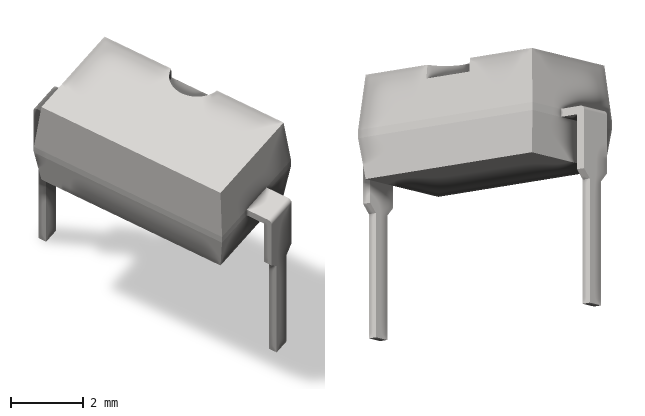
import cadquery as cq

BODY_LENGTH = 6.22
BODY_WIDTH = 3.48
TAPER_INSET = 0.15
UPPER_HEIGHT = 1.57
LOWER_HEIGHT = 1.15

NOTCH_RADIUS = 0.77
NOTCH_DEPTH = 0.39

LEAD_SPAN = 7.87
LEAD_DROP = 5.53
ARM_THICKNESS = 0.23
LEG_THICKNESS = 0.25
BEND_RADIUS = 0.12
SHOULDER_WIDTH = 1.0
TIP_WIDTH = 0.495
SHOULDER_DROP = 1.78

BAND_BOTTOM = -ARM_THICKNESS
BODY_TOP = UPPER_HEIGHT


def tapered_cap(base_z, top_z):
    """Frustum from the full housing outline at base_z to the inset outline at top_z."""
    return (
        cq.Workplane("XY", origin=(0, 0, base_z))
        .rect(BODY_LENGTH, BODY_WIDTH)
        .workplane(offset=top_z - base_z)
        .rect(BODY_LENGTH - 2 * TAPER_INSET, BODY_WIDTH - 2 * TAPER_INSET)
        .loft(ruled=True)
    )


def make_housing():
    band = (
        cq.Workplane("XY", origin=(0, 0, BAND_BOTTOM))
        .rect(BODY_LENGTH, BODY_WIDTH)
        .extrude(ARM_THICKNESS)
    )
    upper_cap = tapered_cap(0, BODY_TOP)
    lower_cap = tapered_cap(BAND_BOTTOM, BAND_BOTTOM - LOWER_HEIGHT)
    notch = (
        cq.Workplane("XY", origin=(0, BODY_WIDTH / 2, BODY_TOP - NOTCH_DEPTH))
        .circle(NOTCH_RADIUS)
        .extrude(NOTCH_DEPTH)
    )
    return band.union(upper_cap).union(lower_cap).cut(notch)


def lead_width_profile():
    """Outline in Y and Z: a wide shoulder that tapers at 45 degrees to a narrow tip."""
    half_shoulder = SHOULDER_WIDTH / 2
    half_tip = TIP_WIDTH / 2
    taper_end = -SHOULDER_DROP - (half_shoulder - half_tip)
    return (
        cq.Workplane("YZ")
        .moveTo(-half_shoulder, 0)
        .lineTo(half_shoulder, 0)
        .lineTo(half_shoulder, -SHOULDER_DROP)
        .lineTo(half_tip, taper_end)
        .lineTo(half_tip, -LEAD_DROP)
        .lineTo(-half_tip, -LEAD_DROP)
        .lineTo(-half_tip, taper_end)
        .lineTo(-half_shoulder, -SHOULDER_DROP)
        .close()
    )


def make_lead(side):
    """Bent lead that butts against the band; side is -1 or +1 along X."""
    inner_x = side * BODY_LENGTH / 2
    outer_x = side * LEAD_SPAN / 2
    leg_inner_x = outer_x - side * LEG_THICKNESS
    bent_strip = (
        cq.Workplane("XZ")
        .moveTo(inner_x, 0)
        .lineTo(outer_x - side * BEND_RADIUS, 0)
        .radiusArc((outer_x, -BEND_RADIUS), side * BEND_RADIUS)
        .lineTo(outer_x, -LEAD_DROP)
        .lineTo(leg_inner_x, -LEAD_DROP)
        .lineTo(leg_inner_x, -ARM_THICKNESS)
        .lineTo(inner_x, -ARM_THICKNESS)
        .close()
        .extrude(SHOULDER_WIDTH / 2, both=True)
    )
    return bent_strip.intersect(lead_width_profile().extrude(outer_x))


housing = make_housing()
leads = [make_lead(side) for side in (-1, 1)]

result = cq.Compound.makeCompound([housing.solids().val(), *[lead.solids().val() for lead in leads]])